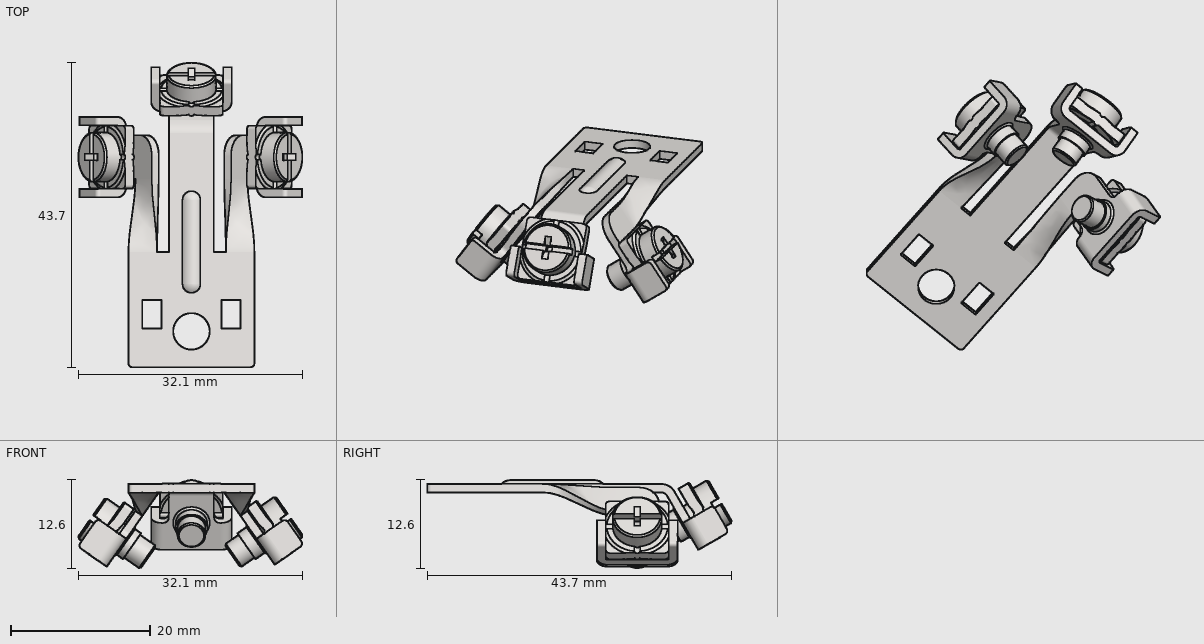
import cadquery as cq
import math

sheet = 1.245

plate_width = 18.1
plate_length = 16.55
plate_corner_radius = 0.55
mount_hole_diameter = 5.2
mount_hole_y = 5.15
window_width = 2.7
window_length = 4.05
window_x = 5.7
window_y = 7.6

strip_width = 6.45
strip_bend_y = 33.6
strip_bend_radius = 2.2
strip_tilt = 60.0
strip_screw_distance = 4.45

bead_width = 2.58
bead_height = 0.55
bead_start_y = 11.95
bead_end_y = 24.0

arm_root_width = 4.1
arm_end_width = 6.3
arm_tilt = 55.0
arm_center_y = 30.15
arm_edge_x = 4.67
arm_edge_z = -1.22
arm_corner_radius = 2.9
twist_sections = 7

saddle_width = 11.58
saddle_height = 5.05
saddle_reach = 4.5
saddle_bend_radius = 1.6
saddle_tip_radius = 0.55
relief_radius = 0.9
collar_radius = 2.25
collar_flare = 0.35
collar_flare_depth = 0.2

strip_saddle_start = 0.05
strip_screw_lift = 0.4
arm_saddle_distance = 8.12
left_screw_distance = 8.5
right_screw_distance = 8.15
right_screw_lift = -0.15
strip_collar_depth = 1.57
left_collar_depth = 1.25
right_collar_depth = 1.8

washer_size = 9.05
washer_thickness = 1.55
washer_bottom = 1.57
washer_corner_radius = 0.55
dish_radius = 4.35
dish_slope_width = 0.5
dish_height = 0.2
groove_radius = 0.45
groove_depth = 0.25

shank_radius = 2.0
shank_depth = 4.1
shank_chamfer = 0.2
head_radius = 3.55
head_chamfer = 0.25
head_top = 5.85
slot_width = 0.87
slot_depth = 1.25
recess_length = 3.28
recess_width = 0.9
recess_depth = 0.95
pit_depth = 1.92


def base_plate():
    """Plate with rounded free corners, a mounting hole and two windows."""
    plate = cq.Workplane("XY").box(plate_width, plate_length, sheet, centered=(True, False, False))
    plate = plate.edges("|Z and <Y").fillet(plate_corner_radius)
    holes = cq.Workplane("XY").center(0, mount_hole_y).circle(mount_hole_diameter / 2).extrude(sheet)
    for side in (-1, 1):
        window = cq.Workplane("XY").center(side * window_x, window_y)
        holes = holes.union(window.rect(window_width, window_length).extrude(sheet))
    return plate.cut(holes).translate((0, 0, -sheet))


def central_strip():
    """Flat strip and its bend, as a side profile extruded across the width."""
    outer, inner = strip_bend_radius, strip_bend_radius - sheet

    def on_bend(radius, angle):
        turn = math.radians(angle)
        return (strip_bend_y + radius * math.sin(turn), radius * math.cos(turn) - strip_bend_radius)

    profile = (
        cq.Workplane("YZ")
        .moveTo(plate_length - sheet, 0)
        .lineTo(strip_bend_y, 0)
        .threePointArc(on_bend(outer, strip_tilt / 2), on_bend(outer, strip_tilt))
        .lineTo(*on_bend(inner, strip_tilt))
        .threePointArc(on_bend(inner, strip_tilt / 2), on_bend(inner, 0))
        .lineTo(plate_length - sheet, -sheet)
        .close()
    )
    return profile.extrude(strip_width / 2, both=True)


def stiffening_bead():
    """Segment of a cylinder with spherical ends, standing on the strip."""
    radius = (bead_width**2 / 4 + bead_height**2) / (2 * bead_height)
    length = bead_end_y - bead_start_y
    axis_z = bead_height - radius
    rod = cq.Workplane("XZ", origin=(0, bead_end_y, axis_z)).circle(radius).extrude(length)
    for y in (bead_start_y, bead_end_y):
        rod = rod.union(cq.Workplane("XY").sphere(radius).translate((0, y, axis_z)))
    above_plate = (
        cq.Workplane("XY", origin=(0, bead_start_y + length / 2, -sheet / 2))
        .box(2 * radius, length + 2 * radius, sheet / 2 + bead_height, centered=(True, True, False))
    )
    return rod.intersect(above_plate)


def arm_direction(angle):
    """Unit vectors (X, Z) down the left arm's section and out of its upper face."""
    turn = math.radians(angle)
    return (-math.cos(turn), -math.sin(turn)), (-math.sin(turn), math.cos(turn))


def arm_section(inner_edge, angle):
    """Section corners (X, Z); inner_edge is the corner of the underside nearest the strip."""
    down, out = arm_direction(angle)
    corners = []
    for across, through in ((0, 0), (arm_root_width, 0), (arm_root_width, sheet), (0, sheet)):
        corners.append([e + across * d + through * n for e, d, n in zip(inner_edge, down, out)])
    return corners


def twisted_arm():
    """Left arm from the plate edge to its tilted end, easing from one section to the other."""
    root = arm_section((arm_root_width - plate_width / 2, -sheet), 0)
    end = arm_section((-arm_edge_x, arm_edge_z), arm_tilt)
    length = arm_center_y - arm_end_width / 2 - plate_length

    sections = []
    for i in range(twist_sections):
        t = i / (twist_sections - 1)
        ease = t * t * (3 - 2 * t)
        corners = []
        for (root_x, root_z), (end_x, end_z) in zip(root, end):
            x = root_x + ease * (end_x - root_x)
            z = root_z + ease * (end_z - root_z)
            corners.append(cq.Vector(x, plate_length + t * length, z))
        sections.append(cq.Wire.makePolygon(corners, close=True))
    return cq.Workplane(cq.Solid.makeLoft(sections))


def saddle(neck_width, neck_length, saddle_start, collar_depth):
    """Flat neck widening into a U-shaped saddle, with a drawn collar underneath."""
    length = saddle_reach - saddle_start
    inner_width = saddle_width - 2 * sheet
    block = cq.Workplane("XY", origin=(0, saddle_start, 0))
    outside = block.box(saddle_width, length, saddle_height, centered=(True, False, False))
    outside = outside.edges("|Y and <Z").fillet(saddle_bend_radius)
    inside = block.workplane(offset=sheet)
    inside = inside.box(inner_width, length, saddle_height, centered=(True, False, False))
    inside = inside.edges("|Y and <Z").fillet(saddle_bend_radius - sheet)
    body = outside.cut(inside).edges("|X and >Z").fillet(saddle_tip_radius)

    neck = cq.Workplane("XY", origin=(0, -neck_length, 0))
    neck = neck.box(neck_width, neck_length + saddle_reach, sheet, centered=(True, False, False))
    body = body.union(neck)
    for side in (-1, 1):
        corner = cq.Vector(side * neck_width / 2, saddle_start, sheet / 2)
        body = body.edges("|Z").edges(cq.selectors.NearestToPointSelector(corner)).fillet(relief_radius)
    return body.union(collar(collar_depth))


def collar(depth):
    """Flared collar drawn out of the underside around the screw."""
    profile = (
        cq.Workplane("XZ")
        .lineTo(collar_radius + collar_flare, 0)
        .lineTo(collar_radius, -collar_flare_depth)
        .lineTo(collar_radius, -depth)
        .lineTo(0, -depth)
        .close()
    )
    return profile.revolve(360, (0, 0), (0, 1))


def washer():
    """Square washer, dished outwards, with a cross of grooves that are ridges below."""
    top = washer_bottom + washer_thickness
    base = cq.Workplane("XY", origin=(0, 0, washer_bottom))

    def square(height):
        block = base.rect(washer_size, washer_size).extrude(height)
        return block.edges("|Z").fillet(washer_corner_radius)

    def dish(z):
        foot = dish_radius + dish_slope_width
        return cq.Workplane(cq.Solid.makeCone(foot, dish_radius, dish_height)).translate((0, 0, z))

    def cross(z):
        """Two crossed rods whose lowest lines lie below the dish by the groove depth."""
        rod_z = z + dish_height - groove_depth + groove_radius
        rods = cq.Workplane("XY")
        for plane in ("XZ", "YZ"):
            rod = cq.Workplane(plane, origin=(0, 0, rod_z)).circle(groove_radius)
            rods = rods.union(rod.extrude(washer_size, both=True))
        return rods

    raised = square(washer_thickness + dish_height)
    body = square(washer_thickness).union(dish(top)).cut(dish(washer_bottom)).cut(cross(top))
    ridge_limits = square(washer_thickness / 2).translate((0, 0, -groove_depth))
    ridges = cross(washer_bottom).intersect(ridge_limits)
    return body.intersect(raised).union(ridges)


def shank():
    """Screw shank with a chamfered tip."""
    bottom = cq.Workplane("XY", origin=(0, 0, -shank_depth)).circle(shank_radius)
    body = bottom.extrude(shank_depth + washer_bottom + washer_thickness)
    return body.faces("<Z").chamfer(shank_chamfer)


def head():
    """Round screw head with a chamfered rim, starting inside the washer."""
    bottom = washer_bottom + washer_thickness / 2
    body = cq.Workplane("XY", origin=(0, 0, bottom)).circle(head_radius).extrude(head_top - bottom)
    return body.faces(">Z").chamfer(head_chamfer)


def driver_recess():
    """Straight slot crossed by a V-shaped recess, with a deeper pit where they meet."""
    top = cq.Workplane("XY", origin=(0, 0, head_top))
    slot = top.rect(2 * head_radius, slot_width).extrude(-slot_depth)
    pit = top.rect(recess_width, slot_width).extrude(-pit_depth)
    wedge = (
        cq.Workplane("YZ", origin=(0, 0, head_top))
        .moveTo(-recess_length / 2, 0)
        .lineTo(0, -recess_depth)
        .lineTo(recess_length / 2, 0)
        .close()
        .extrude(recess_width / 2, both=True)
    )
    return slot.union(pit).union(wedge)


def clamp_screw():
    """Screw and washer joined, with the driver recess cut into the head."""
    return washer().union(shank()).union(head()).cut(driver_recess())


def placed(shape, plane):
    """Shape moved from local axes onto the given plane."""
    return cq.Workplane(shape.val().moved(cq.Location(plane)))


def central_terminal():
    """Saddle and screw at the end of the bent central strip."""
    tilt = math.radians(strip_tilt)
    down = cq.Vector(0, math.cos(tilt), -math.sin(tilt))
    out = cq.Vector(0, math.sin(tilt), math.cos(tilt))
    bend_center = cq.Vector(0, strip_bend_y, -strip_bend_radius)
    foot = bend_center + out * (strip_bend_radius - sheet) + down * strip_screw_distance
    body = saddle(strip_width, strip_screw_distance, strip_saddle_start, strip_collar_depth)
    body = body.union(clamp_screw().translate((0, 0, strip_screw_lift)))
    return placed(body, cq.Plane(foot, (1, 0, 0), out))


def arm_terminal(screw_distance, screw_lift, collar_depth):
    """Left arm end; the screw lies screw_distance below the arm's upper edge."""
    down, out = (cq.Vector(x, 0, z) for x, z in arm_direction(arm_tilt))
    foot = cq.Vector(-arm_edge_x, arm_center_y, arm_edge_z) + down * screw_distance
    saddle_start = arm_saddle_distance - screw_distance
    body = saddle(arm_end_width, screw_distance, saddle_start, collar_depth)
    body = body.edges("|Z").edges("<Y").edges(">X").fillet(arm_corner_radius)
    body = body.union(clamp_screw().translate((0, 0, screw_lift)))
    return placed(body, cq.Plane(foot, (0, 1, 0), out))


arm = twisted_arm()
left_arm = arm.union(arm_terminal(left_screw_distance, 0, left_collar_depth))
right_terminal = arm_terminal(right_screw_distance, right_screw_lift, right_collar_depth)
right_arm = arm.union(right_terminal).mirror("YZ")

result = (
    base_plate()
    .union(central_strip())
    .union(stiffening_bead())
    .union(central_terminal())
    .union(left_arm)
    .union(right_arm)
)